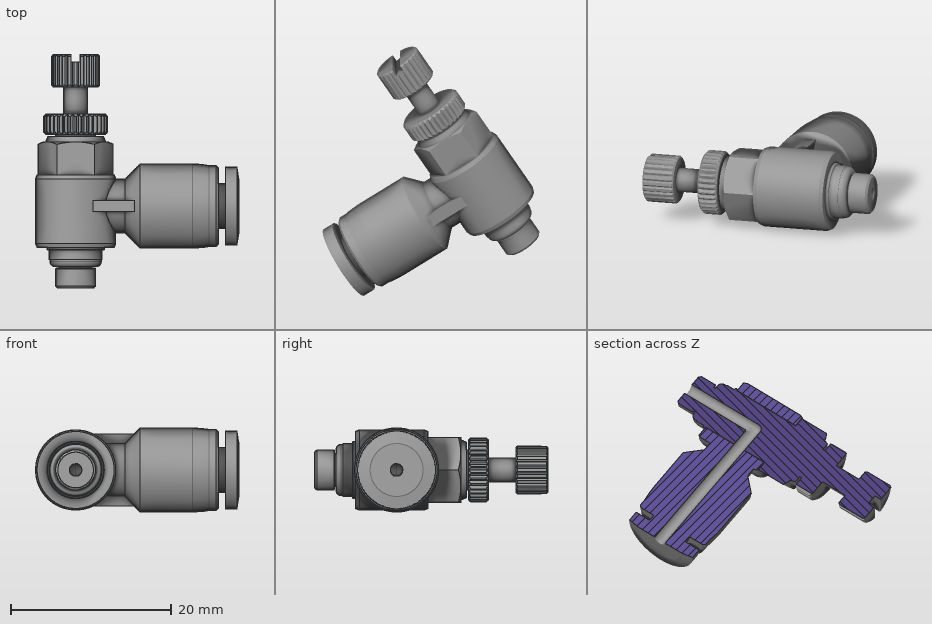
import cadquery as cq
import math


sleeve_radius = 5.0
sleeve_top = 3.9
sleeve_bottom = -5.15
sleeve_edge_inset = 0.2
sleeve_edge_height = 0.5
bore_radius = 3.3

branch_neck_radius = 3.35
branch_radius = 5.25
branch_cone_start = 6.15
branch_cone_end = branch_cone_start + branch_radius - branch_neck_radius
branch_arc_start = 14.55
branch_arc_end = 16.6
branch_rim_radius = 5.05
branch_end = 17.8
branch_end_chamfer = 0.3

collet_neck_radius = 2.8
collet_flange_radius = 4.85
collet_flange_start = 18.65
collet_flange_edge = 20.1
collet_end = 20.35
collet_end_radius = 3.3

rib_width = 1.4
rib_half_height = 4.5
rib_end = branch_cone_end

tip_end = -10.23
tip_top = -7.72
tip_radius = 2.5
tip_top_chamfer = 0.1
tip_end_chamfer = 0.28
undercut_radius = 2.05
seal_bottom = -7.55
seal_radius = 3.2
seal_round = 0.65
shank_bottom = -6.67
flange_radius = 3.57
flange_bottom = -5.5
flange_chamfer = 0.08

hex_across_flats = 8.1
hex_top = 8.0
hex_chamfer_angle = 25.0
hex_chamfer_radius = hex_across_flats / 2
shoulder_base_radius = 3.75
shoulder_top_radius = 3.45
shoulder_top = 8.7
nut_neck_radius = 2.5

nut_radius = 4.0
nut_bottom = 8.95
nut_thickness = 2.5
nut_chamfer = 0.3
nut_grooves = 34
nut_groove_width = 0.58
nut_groove_depth = 0.28

stem_radius = 1.5

knob_radius = 3.0
knob_bottom = 14.87
knob_height = 4.0
knob_chamfer = 0.2
knob_grooves = 24
knob_groove_width = 0.4
knob_groove_depth = 0.2
slot_width = 1.15
slot_depth = 0.9

passage_radius = 0.775


def cylinder_on_y(radius, bottom, top):
    """Cylinder about the Y axis between two Y positions."""
    return cq.Workplane("XZ", origin=(0, bottom, 0)).circle(radius).extrude(bottom - top)


def make_sleeve():
    """Outer sleeve with a shallow bevel on both end edges."""
    end_radius = sleeve_radius - sleeve_edge_inset
    return (
        cq.Workplane("XY")
        .moveTo(0, sleeve_bottom)
        .lineTo(end_radius, sleeve_bottom)
        .lineTo(sleeve_radius, sleeve_bottom + sleeve_edge_height)
        .lineTo(sleeve_radius, sleeve_top - sleeve_edge_height)
        .lineTo(end_radius, sleeve_top)
        .lineTo(0, sleeve_top)
        .close()
        .revolve(360, (0, 0), (0, 1))
    )


def make_branch():
    """Tube branch with its release collet, turned about the X axis."""
    return (
        cq.Workplane("XY")
        .lineTo(0, branch_neck_radius)
        .lineTo(branch_cone_start, branch_neck_radius)
        .lineTo(branch_cone_end, branch_radius)
        .lineTo(branch_arc_start, branch_radius)
        .tangentArcPoint((branch_arc_end, branch_rim_radius), relative=False)
        .lineTo(branch_end - branch_end_chamfer, branch_rim_radius)
        .lineTo(branch_end, branch_rim_radius - branch_end_chamfer)
        .lineTo(branch_end, collet_neck_radius)
        .lineTo(collet_flange_start, collet_neck_radius)
        .lineTo(collet_flange_start, collet_flange_radius)
        .lineTo(collet_flange_edge, collet_flange_radius)
        .lineTo(collet_end, collet_end_radius)
        .lineTo(collet_end, 0)
        .close()
        .revolve(360, (0, 0), (1, 0))
    )


def make_rib():
    """Flat web joining the sleeve to the branch cone, above and below the neck."""
    return cq.Workplane("XY").box(
        rib_end, rib_width, 2 * rib_half_height, centered=(False, True, True)
    )


def make_passage():
    """Elbow-shaped passage along the Y axis and the X axis, with a ball at the corner."""
    tip_leg = cylinder_on_y(passage_radius, tip_end, 0)
    branch_leg = cq.Workplane("YZ").circle(passage_radius).extrude(collet_end)
    corner = cq.Workplane("XY").sphere(passage_radius)
    return tip_leg.union(corner).union(branch_leg)


def make_housing(passage):
    bore = cylinder_on_y(bore_radius, sleeve_bottom, sleeve_top)
    return make_sleeve().union(make_branch()).union(make_rib()).cut(bore).cut(passage)


def make_turned_core():
    """Valve tip, seal, flange, shank, shoulder, nut neck and stem in one turning."""
    seal_shoulder = seal_bottom + seal_round
    return (
        cq.Workplane("XY")
        .moveTo(0, tip_end)
        .lineTo(tip_radius - tip_end_chamfer, tip_end)
        .lineTo(tip_radius, tip_end + tip_end_chamfer)
        .lineTo(tip_radius, tip_top - tip_top_chamfer)
        .lineTo(tip_radius - tip_top_chamfer, tip_top)
        .lineTo(undercut_radius, tip_top)
        .lineTo(undercut_radius, seal_bottom)
        .lineTo(seal_radius - seal_round, seal_bottom)
        .radiusArc((seal_radius, seal_shoulder), -seal_round)
        .lineTo(seal_radius, shank_bottom)
        .lineTo(bore_radius, shank_bottom)
        .lineTo(bore_radius, flange_bottom)
        .lineTo(flange_radius - flange_chamfer, flange_bottom)
        .lineTo(flange_radius, flange_bottom + flange_chamfer)
        .lineTo(flange_radius, sleeve_bottom)
        .lineTo(bore_radius, sleeve_bottom)
        .lineTo(bore_radius, hex_top)
        .lineTo(shoulder_base_radius, hex_top)
        .lineTo(shoulder_top_radius, shoulder_top)
        .lineTo(nut_neck_radius, shoulder_top)
        .lineTo(nut_neck_radius, nut_bottom)
        .lineTo(stem_radius, nut_bottom)
        .lineTo(stem_radius, knob_bottom)
        .lineTo(0, knob_bottom)
        .close()
        .revolve(360, (0, 0), (0, 1))
    )


def make_hex():
    """Spanner hexagon with corners on +X and -X, its upper corners turned off by a cone."""
    corner_radius = hex_across_flats / math.sqrt(3)
    hexagon = (
        cq.Workplane("XZ", origin=(0, sleeve_top, 0))
        .polygon(6, 2 * corner_radius)
        .extrude(sleeve_top - hex_top)
    )
    slope = math.tan(math.radians(hex_chamfer_angle))
    blank = (
        cq.Workplane("XY")
        .moveTo(0, sleeve_top)
        .lineTo(corner_radius, sleeve_top)
        .lineTo(corner_radius, hex_top - slope * (corner_radius - hex_chamfer_radius))
        .lineTo(hex_chamfer_radius, hex_top)
        .lineTo(0, hex_top)
        .close()
        .revolve(360, (0, 0), (0, 1))
    )
    return hexagon.intersect(blank)


def make_knurled_disc(radius, bottom, thickness, chamfer, grooves, groove_width, groove_depth, first_angle):
    """Chamfered disc with V grooves along Y, spaced evenly around its rim."""
    top = bottom + thickness
    disc = cylinder_on_y(radius, bottom, top).edges().chamfer(chamfer)
    rim = math.sqrt(radius ** 2 - groove_width ** 2 / 4)
    root = radius - groove_depth
    outer = 2 * rim - root
    cutter = (
        cq.Workplane("XZ", origin=(0, bottom, 0))
        .moveTo(root, 0)
        .lineTo(outer, groove_width)
        .lineTo(outer, -groove_width)
        .close()
        .extrude(-thickness)
    )
    cutters = [
        cutter.rotate((0, 0, 0), (0, 1, 0), first_angle + i * 360 / grooves).val()
        for i in range(grooves)
    ]
    return disc.cut(cq.Workplane(obj=cq.Compound.makeCompound(cutters)))


def make_nut():
    return make_knurled_disc(
        nut_radius, nut_bottom, nut_thickness, nut_chamfer,
        nut_grooves, nut_groove_width, nut_groove_depth, 0,
    )


def make_knob():
    """Adjusting knob with a screwdriver slot along Z in its end; a tooth lies on the X axis."""
    half_pitch = 180 / knob_grooves
    knob = make_knurled_disc(
        knob_radius, knob_bottom, knob_height, knob_chamfer,
        knob_grooves, knob_groove_width, knob_groove_depth, half_pitch,
    )
    slot_floor = knob_bottom + knob_height - slot_depth
    slot = cq.Workplane("XY", origin=(0, slot_floor, 0)).box(
        slot_width, slot_depth, 2 * knob_radius, centered=(True, False, True)
    )
    return knob.cut(slot)


def make_valve(passage):
    return (
        make_turned_core()
        .union(make_hex())
        .union(make_nut())
        .union(make_knob())
        .cut(passage)
    )


passage = make_passage()
housing = make_housing(passage)
valve = make_valve(passage)

result = cq.Compound.makeCompound([housing.solids().val(), valve.solids().val()])